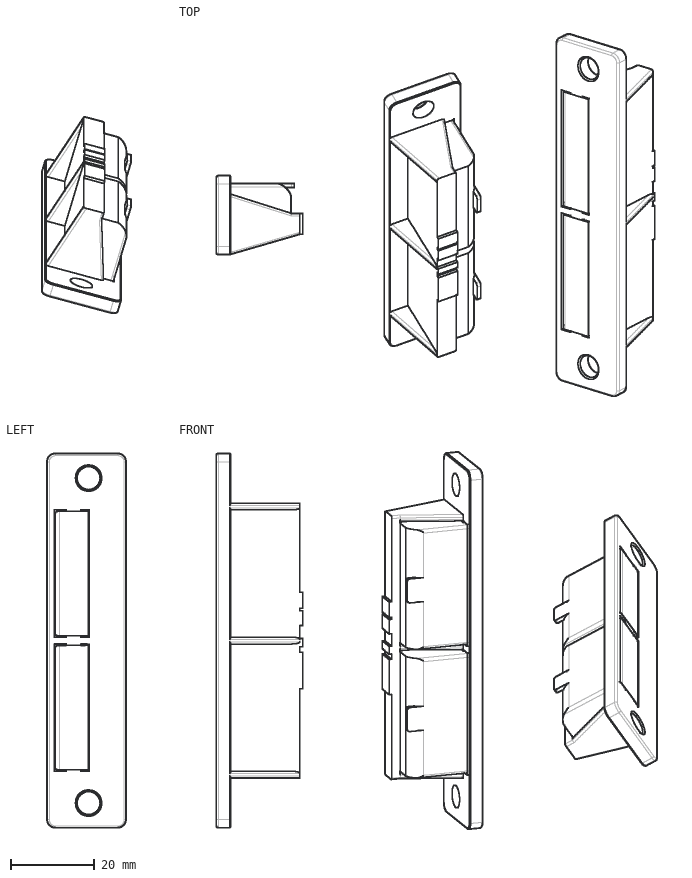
import cadquery as cq

PLATE_THICKNESS = 3.5
PLATE_WIDTH = 19.0
PLATE_HEIGHT = 89.86
PLATE_CORNER_RADIUS = 2.0
PLATE_FRONT_FILLET = 0.5
PLATE_BACK_CHAMFER = 0.25

HOLE_DIAMETER = 5.5
HOLE_CHAMFER = 0.4
HOLE_Y = -0.5
HOLE_Z = 39.0

RIB_THICKNESS = 1.65
RIB_FILLET = 0.55
RIB_SPAN = 66.0
RIB_PITCH = (RIB_SPAN - RIB_THICKNESS) / 2
RIB_ROOT_X = PLATE_THICKNESS - PLATE_BACK_CHAMFER
RIB_ROOT_BOTTOM_Y = -PLATE_WIDTH / 2
RIB_ROOT_TOP_Y = 5.1
RIB_STEP_X = 18.0
RIB_END_X = 20.1
RIB_END_BOTTOM_Y = -4.63
RIB_END_TOP_Y = 0.43

MARK_END_X = 20.77
MARK_SPANS = [(7.7, 11.6), (3.6, 7.2), (-1.5, 0.5), (-11.6, -2.8)]

BAY_CENTERS_Z = [-RIB_PITCH / 2, RIB_PITCH / 2]
WINDOW_HEIGHT = RIB_PITCH - RIB_THICKNESS
WINDOW_BOTTOM_Y = -0.7
WINDOW_TOP_Y = 7.7

PAD_DEPTH = 0.3
PAD_BOTTOM_Y = 1.35
PAD_TOP_Y = 4.9

INSERT_CLEARANCE = 0.25
INSERT_HEIGHT = WINDOW_HEIGHT - 2 * PAD_DEPTH
INSERT_BOTTOM_Y = WINDOW_BOTTOM_Y + INSERT_CLEARANCE
INSERT_TOP_Y = 7.6
INSERT_FRONT_RADIUS = 1.0
INSERT_EDGE_RADIUS = 0.75
INSERT_CORNER_X = 14.6
INSERT_CORNER_Y = 4.6
INSERT_CORNER_MID = (16.75, 6.5)

TAB_LENGTH_Z = 6.0
TAB_START_X = 14.0
TAB_END_X = 18.75
TAB_BOTTOM_Y = 6.6
TAB_CORNER_RADIUS = 0.75


def block(x_range, y_range, z_range):
    """Box between two limits along each axis."""
    lengths = [limits[1] - limits[0] for limits in (x_range, y_range, z_range)]
    corner = (x_range[0], y_range[0], z_range[0])
    return cq.Workplane("XY").box(*lengths, centered=False).translate(corner)


def make_plate():
    """Plate with rounded corners, softened edges and two screw holes."""
    plate = (
        cq.Workplane("YZ")
        .rect(PLATE_WIDTH, PLATE_HEIGHT)
        .extrude(PLATE_THICKNESS)
        .edges("|X")
        .fillet(PLATE_CORNER_RADIUS)
    )
    plate = plate.faces("<X").edges().fillet(PLATE_FRONT_FILLET)
    plate = plate.faces(">X").chamfer(PLATE_BACK_CHAMFER)
    hole_positions = [(HOLE_Y, -HOLE_Z), (HOLE_Y, HOLE_Z)]
    hole_radius = HOLE_DIAMETER / 2
    holes = cq.Workplane("YZ").pushPoints(hole_positions).circle(hole_radius).extrude(PLATE_THICKNESS)
    countersinks = (
        cq.Workplane("YZ")
        .pushPoints(hole_positions)
        .circle(hole_radius + HOLE_CHAMFER)
        .extrude(HOLE_CHAMFER, taper=45)
    )
    return plate.cut(holes).cut(countersinks)


def make_rib(center_z):
    """Tapered rib with its sloped and stepped edges rounded."""
    rib = (
        cq.Workplane("XY")
        .workplane(offset=center_z - RIB_THICKNESS / 2)
        .moveTo(RIB_ROOT_X, RIB_ROOT_BOTTOM_Y)
        .lineTo(RIB_END_X, RIB_END_BOTTOM_Y)
        .lineTo(RIB_END_X, RIB_END_TOP_Y)
        .lineTo(RIB_STEP_X, RIB_END_TOP_Y)
        .lineTo(RIB_ROOT_X, RIB_ROOT_TOP_Y)
        .close()
        .extrude(RIB_THICKNESS)
    )
    return rib.faces("|Z").edges("not |Y").fillet(RIB_FILLET)


def make_housing():
    """Plate, ribs, bay floor and end stop in one piece, with a window into each bay."""
    housing = make_plate()
    bay_z = (-RIB_PITCH, RIB_PITCH)
    floor = block((RIB_ROOT_X, RIB_END_X), (RIB_END_BOTTOM_Y, WINDOW_BOTTOM_Y), bay_z)
    end_stop = block((RIB_STEP_X, RIB_END_X), (RIB_END_BOTTOM_Y, RIB_END_TOP_Y), bay_z)
    housing = housing.union(floor).union(end_stop)
    for center_z in (-RIB_PITCH, 0, RIB_PITCH):
        housing = housing.union(make_rib(center_z))
    for z_range in MARK_SPANS:
        mark = block((RIB_END_X, MARK_END_X), (RIB_END_BOTTOM_Y, RIB_END_TOP_Y), z_range)
        housing = housing.union(mark)
    for center_z in BAY_CENTERS_Z:
        low_z = center_z - WINDOW_HEIGHT / 2
        high_z = center_z + WINDOW_HEIGHT / 2
        window = block((0, PLATE_THICKNESS), (WINDOW_BOTTOM_Y, WINDOW_TOP_Y), (low_z, high_z))
        housing = housing.cut(window)
        for z_range in ((low_z, low_z + PAD_DEPTH), (high_z - PAD_DEPTH, high_z)):
            pad = block((0, PLATE_THICKNESS), (PAD_BOTTOM_Y, PAD_TOP_Y), z_range)
            housing = housing.union(pad)
    return housing


def make_insert(center_z):
    """Block flush with the plate front, reaching back to the end stop, with a tab behind it."""
    side_profile = (
        cq.Workplane("XY")
        .workplane(offset=center_z - INSERT_HEIGHT / 2)
        .moveTo(0, INSERT_BOTTOM_Y)
        .lineTo(RIB_STEP_X, INSERT_BOTTOM_Y)
        .lineTo(RIB_STEP_X, INSERT_CORNER_Y)
        .threePointArc(INSERT_CORNER_MID, (INSERT_CORNER_X, INSERT_TOP_Y))
        .lineTo(INSERT_FRONT_RADIUS, INSERT_TOP_Y)
        .radiusArc((0, INSERT_TOP_Y - INSERT_FRONT_RADIUS), -INSERT_FRONT_RADIUS)
        .close()
        .extrude(INSERT_HEIGHT)
    )
    rounded_bar = block(
        (0, RIB_STEP_X),
        (INSERT_BOTTOM_Y, INSERT_TOP_Y),
        (center_z - INSERT_HEIGHT / 2, center_z + INSERT_HEIGHT / 2),
    )
    rounded_bar = rounded_bar.faces(">Y").edges("|X").fillet(INSERT_EDGE_RADIUS)
    insert = side_profile.intersect(rounded_bar)
    tab_z = (center_z - TAB_LENGTH_Z / 2, center_z + TAB_LENGTH_Z / 2)
    tab = block((TAB_START_X, TAB_END_X), (TAB_BOTTOM_Y, INSERT_TOP_Y), tab_z)
    tab = tab.faces(">X").edges("|Y").fillet(TAB_CORNER_RADIUS)
    return insert.union(tab)


housing = make_housing()
inserts = [make_insert(center_z) for center_z in BAY_CENTERS_Z]
result = cq.Compound.makeCompound([housing.val(), *[insert.val() for insert in inserts]])